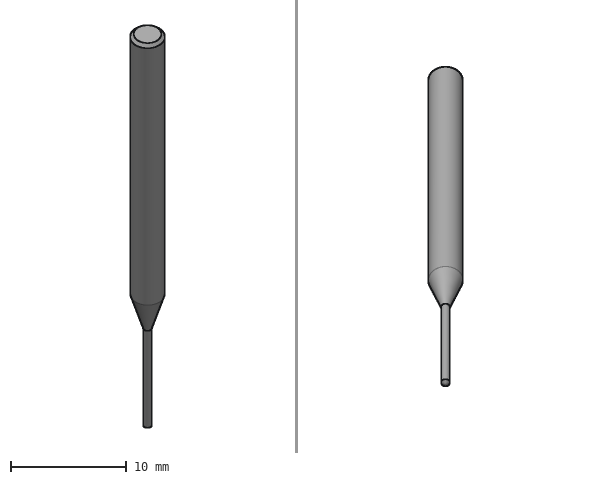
import cadquery as cq

overall_length = 45.0
shank_taper_top = 15.3
neck_height = 11.35
point_height = 0.22

shank_diameter = 3.0
bit_diameter = 0.75

end_chamfer = 0.3

shank_radius = shank_diameter / 2
bit_radius = bit_diameter / 2


def make_shank():
    """Cylindrical shank with a chamfered top end and a taper down to the bit."""
    return (
        cq.Workplane("YZ")
        .moveTo(0, neck_height)
        .lineTo(bit_radius, neck_height)
        .lineTo(shank_radius, shank_taper_top)
        .lineTo(shank_radius, overall_length - end_chamfer)
        .lineTo(shank_radius - end_chamfer, overall_length)
        .lineTo(0, overall_length)
        .close()
        .revolve(360, (0, 0), (0, 1))
    )


def make_bit():
    """Slender round bit with a conical point, butted against the shank taper."""
    return (
        cq.Workplane("XZ")
        .moveTo(0, 0)
        .lineTo(-bit_radius, point_height)
        .lineTo(-bit_radius, neck_height)
        .lineTo(0, neck_height)
        .close()
        .revolve(360, (0, 0), (0, 1))
    )


shank = make_shank()
bit = make_bit()

result = cq.Compound.makeCompound([shank.val(), bit.val()])